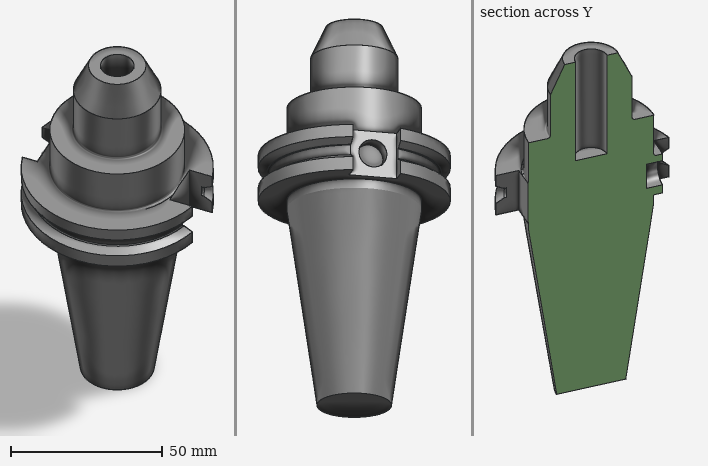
import cadquery as cq

total_height = 131.8
nose_cone_height = 10.8
collar_top = 103.5
flange_top = 87.2
flange_bottom = 71.4
gauge_height = 68.2

tip_radius = 9.5
nose_radius = 14.5
collar_radius = 22.3
flange_radius = 31.8
taper_ratio = 7 / 24
small_end_radius = collar_radius - gauge_height * taper_ratio / 2
nose_fillet = 1.2
collar_fillet = 0.9

groove_middle = 79.5
groove_root_radius = 28.0
groove_ledge = 0.8
groove_root_width = 3.7
groove_mouth_width = 7.0

slot_width = 16.2
shallow_slot_floor = 25.3
deep_slot_floor = 22.5

bore_radius = 5.5
bore_depth = 39.5
side_hole_radius = 4.7
side_hole_height = 79.6
side_hole_depth = 5.5


def turned_body():
    """Taper, flange, collar and nose revolved about Z."""
    profile = [
        (0, 0),
        (small_end_radius, 0),
        (collar_radius, gauge_height),
        (collar_radius, flange_bottom),
        (flange_radius, flange_bottom),
        (flange_radius, groove_middle - groove_mouth_width / 2),
        (groove_root_radius + groove_ledge, groove_middle - groove_root_width / 2),
        (groove_root_radius, groove_middle - groove_root_width / 2),
        (groove_root_radius, groove_middle + groove_root_width / 2),
        (groove_root_radius + groove_ledge, groove_middle + groove_root_width / 2),
        (flange_radius, groove_middle + groove_mouth_width / 2),
        (flange_radius, flange_top),
        (collar_radius, flange_top),
        (collar_radius, collar_top),
        (nose_radius, collar_top),
        (nose_radius, total_height - nose_cone_height),
        (tip_radius, total_height),
        (0, total_height),
    ]
    return cq.Workplane("XZ").polyline(profile).close().revolve(360, (0, 0, 0), (0, 1, 0))


def fillet_foot(body, radius, height, size):
    """Round the inside corner where a cylinder of this radius meets the face at this height."""
    reach = radius + size / 2
    corner = cq.selectors.BoxSelector(
        (-reach, -reach, height - size / 2),
        (reach, reach, height + size / 2),
        boundingbox=True,
    )
    return body.edges(corner).edges("%CIRCLE").fillet(size)


def drive_slot(side, floor):
    """Cutter for a slot through the flange and collar fillet; side is -1 or 1 along X."""
    depth = flange_radius - floor
    height = flange_top + collar_fillet - flange_bottom
    return cq.Workplane("XY", origin=(side * (floor + depth / 2), 0, flange_bottom)).box(
        depth, slot_width, height, centered=(True, True, False)
    )


def bore():
    """Cutter for the blind bore in the nose."""
    return cq.Workplane("XY", origin=(0, 0, total_height)).circle(bore_radius).extrude(-bore_depth)


def side_hole():
    """Cutter for the blind hole in the floor of the shallow slot."""
    return (
        cq.Workplane("YZ", origin=(-shallow_slot_floor, 0, side_hole_height))
        .circle(side_hole_radius)
        .extrude(side_hole_depth)
    )


body = turned_body()
body = fillet_foot(body, nose_radius, collar_top, nose_fillet)
body = fillet_foot(body, collar_radius, flange_top, collar_fillet)
body = body.cut(drive_slot(-1, shallow_slot_floor))
body = body.cut(drive_slot(1, deep_slot_floor))
body = body.cut(bore())
result = body.cut(side_hole())